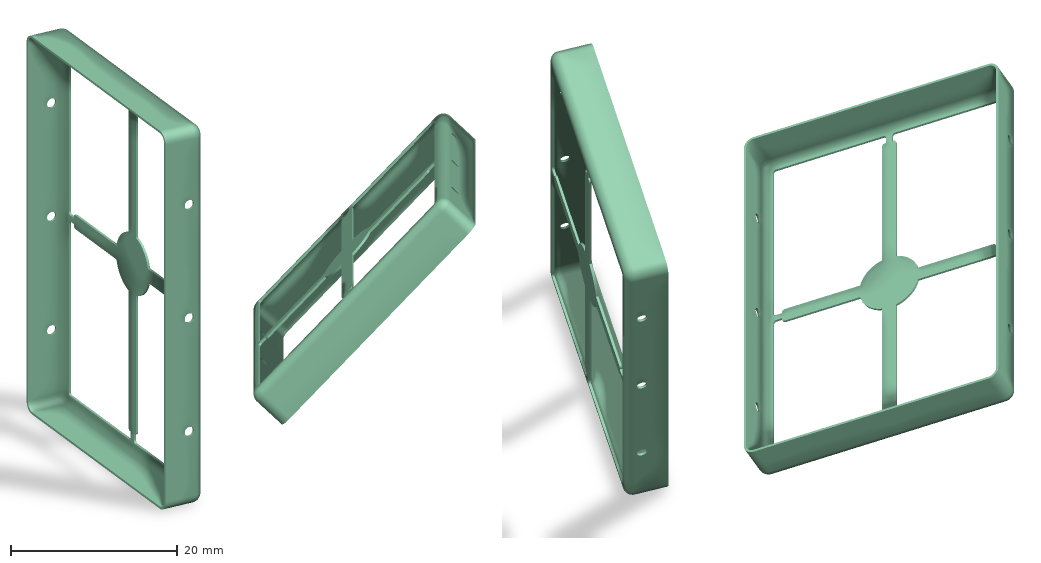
import cadquery as cq

width = 33.9
depth = 5.3
height = 50.1
wall = 0.3
corner_radius = 1.35
back_edge_radius = 1.1
inner_corner_radius = corner_radius - wall
inner_back_radius = back_edge_radius - wall
back_y = depth / 2
floor_y = back_y - wall

ledge = 1.5
opening_width = width - 2 * ledge
opening_height = height - 2 * ledge
opening_corner_radius = 0.3

disc_diameter = 7.9
arm_width = 1.85
neck_width = 0.8
neck_length = 1.2
arm_end_radius = 0.35
neck_root_radius = 0.4

hole_diameter = 1.25
hole_pitch = 15.05
holes_per_side = 3
hole_from_back = 2.0


def block(size_x, size_z, front_y, rear_y):
    """Box centred on the Y axis, from front_y to rear_y."""
    return cq.Workplane("XY").box(size_x, rear_y - front_y, size_z).translate((0, (front_y + rear_y) / 2, 0))


def make_tray():
    outer = block(width, height, -back_y, back_y)
    outer = outer.edges("|Y").fillet(corner_radius).faces(">Y").edges().fillet(back_edge_radius)
    cavity = block(width - 2 * wall, height - 2 * wall, -back_y, floor_y)
    cavity = cavity.edges("|Y").fillet(inner_corner_radius).faces(">Y").edges().fillet(inner_back_radius)
    return outer.cut(cavity)


def make_arm(opening_span):
    """Upright double arm with a rounded end and a flared neck at both ends."""
    arm_span = opening_span - 2 * neck_length
    arm = block(arm_width, arm_span, floor_y, back_y).edges("|Y").fillet(arm_end_radius)
    neck = block(neck_width, opening_span, floor_y, back_y)
    arm = arm.union(neck)
    flare_width = neck_width + 2 * neck_root_radius
    for end in (-1, 1):
        flare_z = end * (opening_span - neck_root_radius) / 2
        flare = block(flare_width, neck_root_radius, floor_y, back_y).translate((0, 0, flare_z))
        for side in (-1, 1):
            relief_x = side * flare_width / 2
            relief_z = end * (opening_span / 2 - neck_root_radius)
            relief = (
                cq.Workplane("XZ", origin=(relief_x, back_y, relief_z))
                .circle(neck_root_radius)
                .extrude(wall)
            )
            flare = flare.cut(relief)
        arm = arm.union(flare)
    return arm


def make_spider():
    disc = cq.Workplane("XZ", origin=(0, back_y, 0)).circle(disc_diameter / 2).extrude(wall)
    upright = make_arm(opening_height)
    crossbar = make_arm(opening_width).rotate((0, 0, 0), (0, 1, 0), 90)
    return disc.union(upright).union(crossbar)


def make_pin_holes():
    return (
        cq.Workplane("YZ", origin=(0, back_y - hole_from_back, 0))
        .rarray(0.5, hole_pitch, 1, holes_per_side)
        .circle(hole_diameter / 2)
        .extrude(width, both=True)
    )


opening = block(opening_width, opening_height, floor_y, back_y).edges("|Y").fillet(opening_corner_radius)
frame = make_tray().cut(opening).cut(make_pin_holes())
result = frame.union(make_spider())